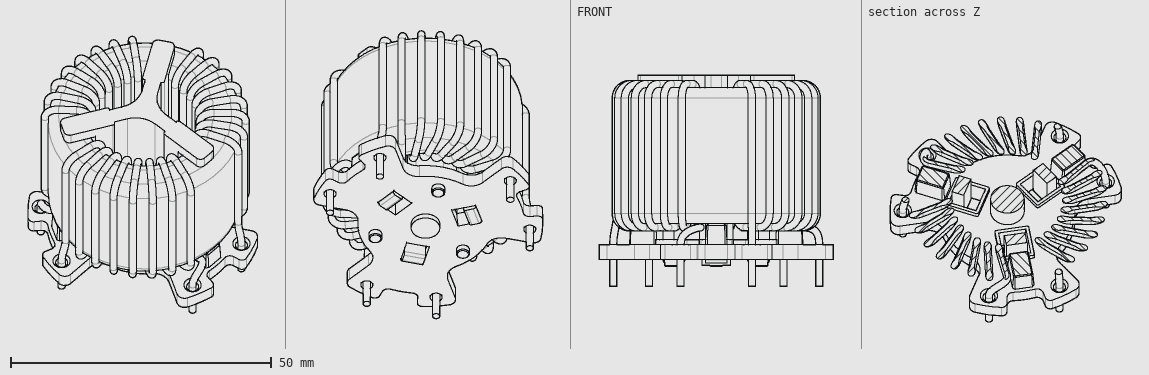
import cadquery as cq
import math


PHASES = 3
PHASE_STEP = 360 / PHASES
LOBE_ANGLES = [270 + PHASE_STEP * i for i in range(PHASES)]
BAY_ANGLES = [angle + PHASE_STEP / 2 for angle in LOBE_ANGLES]

PLATE_T = 2.9
CORE_OD = 37.2
CORE_ID = 22.35
CORE_EDGE_R = 2.0
CORE_BOTTOM = 6.9
CORE_TOP = 33.0

WIRE_D = 1.4
TURNS = 8
PIN_ANGLE = 40.0
FIRST_TURN_ANGLE = -39.3
TURN_PITCH = (PIN_ANGLE - FIRST_TURN_ANGLE) / (TURNS - 1)
WIRE_OUTER_R = (CORE_OD + WIRE_D) / 2
WIRE_INNER_R = (CORE_ID - WIRE_D) / 2
WIRE_BEND_R = CORE_EDGE_R + WIRE_D / 2
BEND_BOTTOM = CORE_BOTTOM + CORE_EDGE_R
BEND_TOP = CORE_TOP - CORE_EDGE_R
PIN_R = 20.06
PIN_BOTTOM = -5.1
PIN_STRAIGHT_TOP = PLATE_T
LEAD_TURN_R = 17.8

PAD_R = 22.5
PAD_INNER_EDGE_ANGLE = 10.0
PAD_OUTER_EDGE_ANGLE = 30.0
PAD_INNER_CORNER_R = 1.0
PAD_OUTER_CORNER_R = 1.5
NOTCH_R = 19.0
NOTCH_FILLET_R = 1.2
NOTCH_ARC_ANGLE = 1.0
WAIST_R = 13.0
WAIST_FILLET_R = 3.0

PIN_HOLE_D = 2.3
PIN_SINK_D = 3.3
FOOT_D = 2.5
FOOT_H = 1.3
FOOT_CIRCLE_R = 10.0
FOOT_CHAMFER = 0.2
FRAME_START, FRAME_END = 4.8, 11.7
FRAME_W = 6.6
FRAME_TOP = PLATE_T + 0.95
FRAME_WALL = 0.65
FRAME_CORNER_R = 0.35
SLOT_DRAFT = 6.0
BLOCK_START, BLOCK_END = 12.2, 18.25
BLOCK_W = 4.2
BLOCK_DRAFT = 3.5
BLOCK_CORNER = 0.4
BLOCK_TOP_CHAMFER = 0.3

OVERALL_H = 40.5
SPACER_TOP = PIN_BOTTOM + OVERALL_H
ARM_END = 16.6
ARM_W = 4.3
ARM_END_CORNER_R = 1.1
NECK_W = 3.06
NECK_END = 6.65
NECK_STEP_R = 0.45
CROTCH_R = 5.5
LEG_START, LEG_END = 8.15, 10.6
LEG_W = 4.1
LEG_BOTTOM = -0.6
LEG_TIP_R = 0.5
POST_D = 6.5
STUB_D = 5.5
STUB_BOTTOM = -1.1


def polar(radius, angle, z=0.0):
    a = math.radians(angle)
    return cq.Vector(radius * math.cos(a), radius * math.sin(a), z)


def flat(radius, angle):
    return polar(radius, angle).toTuple()[:2]


def turned(shape, angle):
    return shape.rotate((0, 0, 0), (0, 0, 1), angle)


def at_angles(shape, angles):
    """Copies of a shape drawn along +X, turned to each angle and fused."""
    copies = [turned(shape, angle) for angle in angles]
    group = copies[0]
    for copy in copies[1:]:
        group = group.union(copy)
    return group


def radial_box(start, end, width, bottom, top):
    """Box lying along +X from one radius to another."""
    return cq.Workplane("XY").box(
        end - start, width, top - bottom, centered=(False, True, False)
    ).translate((start, 0, bottom))


def make_core():
    ring = cq.Workplane("XY").workplane(offset=CORE_BOTTOM).circle(CORE_OD / 2).circle(CORE_ID / 2)
    return ring.extrude(CORE_TOP - CORE_BOTTOM).faces("<Z or >Z").edges().fillet(CORE_EDGE_R)


def round_corner(corner_r, edge_angle, towards):
    """Pad corner between a radial edge and the pad arc: edge, middle and arc points."""
    centre_r = PAD_R - corner_r
    sweep = math.degrees(math.asin(corner_r / centre_r))
    centre = polar(centre_r, edge_angle + towards * sweep)
    edge_point = flat(math.sqrt(centre_r ** 2 - corner_r ** 2), edge_angle)
    middle = centre + polar(corner_r, edge_angle - towards * (90 - sweep) / 2 + towards * sweep / 2)
    return edge_point, middle.toTuple()[:2], flat(PAD_R, edge_angle + towards * sweep)


def round_valley(fillet_r, root_r, edge_angle, towards):
    """Concave rounding between a radial edge and the root arc: edge, middle and root points."""
    centre_r = root_r + fillet_r
    sweep = math.degrees(math.asin(fillet_r / centre_r))
    centre = polar(centre_r, edge_angle + towards * sweep)
    edge_point = flat(math.sqrt(centre_r ** 2 - fillet_r ** 2), edge_angle)
    root_angle = edge_angle + towards * sweep
    middle = centre + polar(fillet_r, root_angle + 180 + towards * (90 - sweep) / 2)
    return edge_point, middle.toTuple()[:2], flat(root_r, root_angle)


def plate_outline():
    pad_middle = (PAD_INNER_EDGE_ANGLE + PAD_OUTER_EDGE_ANGLE) / 2
    outline = cq.Workplane("XY").moveTo(*flat(NOTCH_R, LOBE_ANGLES[0]))
    for axis in LOBE_ANGLES:
        inner_edge = axis + PAD_INNER_EDGE_ANGLE
        outer_edge = axis + PAD_OUTER_EDGE_ANGLE
        edge, middle, root = round_valley(NOTCH_FILLET_R, NOTCH_R, inner_edge, -1)
        outline = outline.threePointArc(flat(NOTCH_R, axis + NOTCH_ARC_ANGLE), root)
        outline = outline.threePointArc(middle, edge)
        edge, middle, tip = round_corner(PAD_INNER_CORNER_R, inner_edge, 1)
        outline = outline.lineTo(*edge).threePointArc(middle, tip)
        edge, middle, tip = round_corner(PAD_OUTER_CORNER_R, outer_edge, -1)
        outline = outline.threePointArc(flat(PAD_R, axis + pad_middle), tip).threePointArc(middle, edge)
        edge, middle, root = round_valley(WAIST_FILLET_R, WAIST_R, outer_edge, 1)
        outline = outline.lineTo(*edge).threePointArc(middle, root)

        next_axis = axis + PHASE_STEP
        inner_edge = next_axis - PAD_INNER_EDGE_ANGLE
        outer_edge = next_axis - PAD_OUTER_EDGE_ANGLE
        edge, middle, root = round_valley(WAIST_FILLET_R, WAIST_R, outer_edge, -1)
        outline = outline.threePointArc(flat(WAIST_R, axis + PHASE_STEP / 2), root)
        outline = outline.threePointArc(middle, edge)
        edge, middle, tip = round_corner(PAD_OUTER_CORNER_R, outer_edge, 1)
        outline = outline.lineTo(*edge).threePointArc(middle, tip)
        edge, middle, tip = round_corner(PAD_INNER_CORNER_R, inner_edge, -1)
        outline = outline.threePointArc(flat(PAD_R, next_axis - pad_middle), tip)
        outline = outline.threePointArc(middle, edge)
        edge, middle, root = round_valley(NOTCH_FILLET_R, NOTCH_R, inner_edge, 1)
        outline = outline.lineTo(*edge).threePointArc(middle, root)
        outline = outline.threePointArc(flat(NOTCH_R, next_axis - NOTCH_ARC_ANGLE), flat(NOTCH_R, next_axis))
    return outline.close()


def make_plate():
    plate = plate_outline().extrude(PLATE_T)

    frame = radial_box(FRAME_START, FRAME_END, FRAME_W, PLATE_T, FRAME_TOP)
    plate = plate.union(at_angles(frame.edges("|Z").fillet(FRAME_CORNER_R), LOBE_ANGLES))

    footprint = cq.Sketch().rect(BLOCK_END - BLOCK_START, BLOCK_W).vertices().chamfer(BLOCK_CORNER)
    block = cq.Workplane("XY", origin=((BLOCK_START + BLOCK_END) / 2, 0, PLATE_T)).placeSketch(footprint)
    block = block.extrude(CORE_BOTTOM - PLATE_T, taper=BLOCK_DRAFT)
    block = block.faces(">Z").chamfer(BLOCK_TOP_CHAMFER)
    plate = plate.union(at_angles(block, LOBE_ANGLES))

    foot = cq.Workplane("XY").center(FOOT_CIRCLE_R, 0).circle(FOOT_D / 2).extrude(-FOOT_H)
    plate = plate.union(at_angles(foot.faces("<Z").chamfer(FOOT_CHAMFER), BAY_ANGLES))

    slot_length = FRAME_END - FRAME_START - 2 * FRAME_WALL
    slot = cq.Workplane("XY").workplane(offset=FRAME_TOP).center((FRAME_START + FRAME_END) / 2, 0)
    slot = slot.rect(slot_length, FRAME_W - 2 * FRAME_WALL).extrude(-FRAME_TOP, taper=SLOT_DRAFT)
    plate = plate.cut(at_angles(slot, LOBE_ANGLES))
    plate = plate.cut(cq.Workplane("XY").circle(STUB_D / 2).extrude(PLATE_T))

    pin_angles = [bay + side * PIN_ANGLE for bay in BAY_ANGLES for side in (-1, 1)]
    sink_depth = (PIN_SINK_D - PIN_HOLE_D) / 2
    hole = cq.Workplane("XY").circle(PIN_HOLE_D / 2).extrude(PLATE_T)
    sink = cq.Workplane("XY").workplane(offset=PLATE_T).circle(PIN_SINK_D / 2).extrude(-sink_depth, taper=45)
    return plate.cut(at_angles(hole.union(sink).translate((PIN_R, 0, 0)), pin_angles))


def spacer_hub(bottom, top):
    """Three-armed neck section with concave rounding between the arms."""
    neck = radial_box(0, NECK_END, NECK_W, bottom, top)
    hub = at_angles(neck, LOBE_ANGLES)
    crotch = cq.selectors.BoxSelector((-NECK_W, -NECK_W, bottom), (NECK_W, NECK_W, top))
    return hub.edges("|Z").edges(crotch).fillet(CROTCH_R)


def make_spacer():
    hub = spacer_hub(CORE_BOTTOM, SPACER_TOP)

    blade = radial_box(NECK_END, LEG_END, ARM_W, CORE_BOTTOM, SPACER_TOP)
    blade = blade.edges("|Z and <X").fillet(NECK_STEP_R)
    tongue = radial_box(LEG_START, ARM_END, ARM_W, CORE_TOP, SPACER_TOP)
    tongue = tongue.edges("|Z and >X").fillet(ARM_END_CORNER_R)

    leg = radial_box(LEG_START, LEG_END, LEG_W, LEG_BOTTOM, CORE_BOTTOM)
    leg = leg.faces("<Z").edges("|Y").fillet(LEG_TIP_R)

    spacer = hub.union(at_angles(blade.union(tongue).union(leg), LOBE_ANGLES))
    post = cq.Workplane("XY").workplane(offset=PLATE_T).circle(POST_D / 2).extrude(CORE_BOTTOM - PLATE_T)
    stub = cq.Workplane("XY").workplane(offset=STUB_BOTTOM).circle(STUB_D / 2).extrude(PLATE_T - STUB_BOTTOM)
    return spacer.union(post).union(stub)


def bend(start, direction, side):
    """Quarter bend from vertical into a level direction; side is +1 upwards, -1 downwards."""
    up = cq.Vector(0, 0, side * WIRE_BEND_R)
    out = direction * WIRE_BEND_R
    diagonal = math.sqrt(0.5)
    middle = start + out * (1 - diagonal) + up * diagonal
    return middle, start + out + up


def crossing(start, end, side):
    """Edges that carry the wire over (+1) or under (-1) the core."""
    direction = (end - start).normalized()
    middle_a, point_a = bend(start, direction, side)
    middle_b, point_b = bend(end, direction * -1, side)
    return [
        cq.Edge.makeThreePointArc(start, middle_a, point_a),
        cq.Edge.makeLine(point_a, point_b),
        cq.Edge.makeThreePointArc(point_b, middle_b, end),
    ]


def starting_lead(pin_angle, leg_angle):
    """Pin and slanted lead up to the foot of the first outer leg."""
    up = cq.Vector(0, 0, 1)
    pin_top = polar(PIN_R, pin_angle, PIN_STRAIGHT_TOP)
    leg_foot = polar(WIRE_OUTER_R, leg_angle, BEND_BOTTOM)
    return [
        cq.Edge.makeLine(polar(PIN_R, pin_angle, PIN_BOTTOM), pin_top),
        cq.Edge.makeSpline([pin_top, leg_foot], tangents=[up, up]),
    ]


def finishing_lead(angle):
    """Lead running out under the core from the last inner leg and curving down into its pin."""
    start = polar(WIRE_INNER_R, angle, BEND_BOTTOM)
    direction = (polar(WIRE_OUTER_R, angle + TURN_PITCH, BEND_BOTTOM) - start).normalized()
    middle, level = bend(start, direction, -1)
    run_out = level + direction * (LEAD_TURN_R - WIRE_INNER_R - WIRE_BEND_R)
    pin_top = polar(PIN_R, angle, PIN_STRAIGHT_TOP)
    return [
        cq.Edge.makeThreePointArc(start, middle, level),
        cq.Edge.makeLine(level, run_out),
        cq.Edge.makeSpline([run_out, pin_top], tangents=[direction, cq.Vector(0, 0, -1)]),
        cq.Edge.makeLine(pin_top, polar(PIN_R, angle, PIN_BOTTOM)),
    ]


def make_winding(bay_angle):
    pin_angle = bay_angle - PIN_ANGLE
    first = bay_angle + FIRST_TURN_ANGLE
    edges = starting_lead(pin_angle, first)
    for turn in range(TURNS):
        angle = first + turn * TURN_PITCH
        outer_top = polar(WIRE_OUTER_R, angle, BEND_TOP)
        inner_top = polar(WIRE_INNER_R, angle, BEND_TOP)
        inner_bottom = polar(WIRE_INNER_R, angle, BEND_BOTTOM)
        edges.append(cq.Edge.makeLine(polar(WIRE_OUTER_R, angle, BEND_BOTTOM), outer_top))
        edges += crossing(outer_top, inner_top, 1)
        edges.append(cq.Edge.makeLine(inner_top, inner_bottom))
        if turn < TURNS - 1:
            edges += crossing(inner_bottom, polar(WIRE_OUTER_R, angle + TURN_PITCH, BEND_BOTTOM), -1)
        else:
            edges += finishing_lead(angle)
    path = cq.Wire.assembleEdges(edges)
    section = cq.Workplane("XY", origin=polar(PIN_R, pin_angle, PIN_BOTTOM).toTuple()).circle(WIRE_D / 2)
    return section.sweep(cq.Workplane("XY").newObject([path]))


core = make_core()
plate = make_plate()
spacer = make_spacer()
windings = [make_winding(angle).val() for angle in BAY_ANGLES]

result = cq.Compound.makeCompound([core.val(), plate.val(), spacer.val(), *windings])